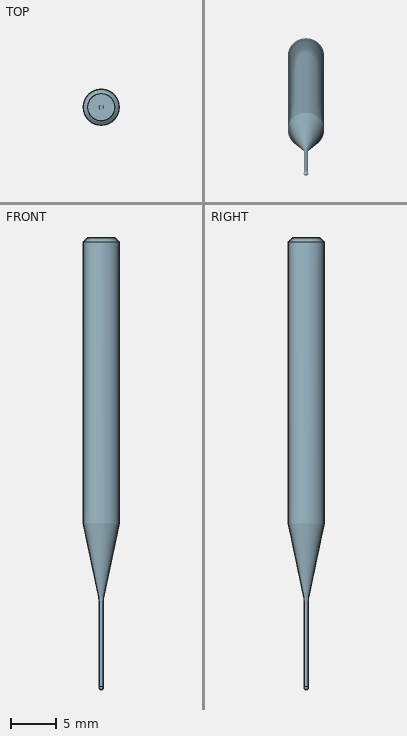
import cadquery as cq
import math

total_length = 50.0
shank_radius = 2.0
shank_chamfer = 0.5
taper_top = 18.35
taper_bottom = 10.2
collar_bottom = 10.05
neck_top = 9.75
collar_radius = 0.275
neck_radius = 0.24
cutter_radius = 0.25
cutter_length = 0.4


def make_holder():
    """Chamfered shank, conical taper, short collar and thin neck, turned about Z."""
    outline = (
        cq.Workplane("XZ")
        .moveTo(0, cutter_length)
        .lineTo(neck_radius, cutter_length)
        .lineTo(neck_radius, neck_top)
        .lineTo(collar_radius, collar_bottom)
        .lineTo(collar_radius, taper_bottom)
        .lineTo(shank_radius, taper_top)
        .lineTo(shank_radius, total_length - shank_chamfer)
        .lineTo(shank_radius - shank_chamfer, total_length)
        .lineTo(0, total_length)
        .close()
    )
    return outline.revolve(360, (0, 0), (0, 1))


def make_cutter():
    """Short cylindrical cutting end with a hemispherical tip, turned about Z."""
    arc_middle_offset = cutter_radius * math.sqrt(0.5)
    outline = (
        cq.Workplane("XZ")
        .threePointArc(
            (arc_middle_offset, cutter_radius - arc_middle_offset),
            (cutter_radius, cutter_radius),
        )
        .lineTo(cutter_radius, cutter_length)
        .lineTo(0, cutter_length)
        .close()
    )
    return outline.revolve(360, (0, 0), (0, 1))


holder = make_holder()
cutter = make_cutter()

result = cq.Compound.makeCompound([holder.val(), cutter.val()])